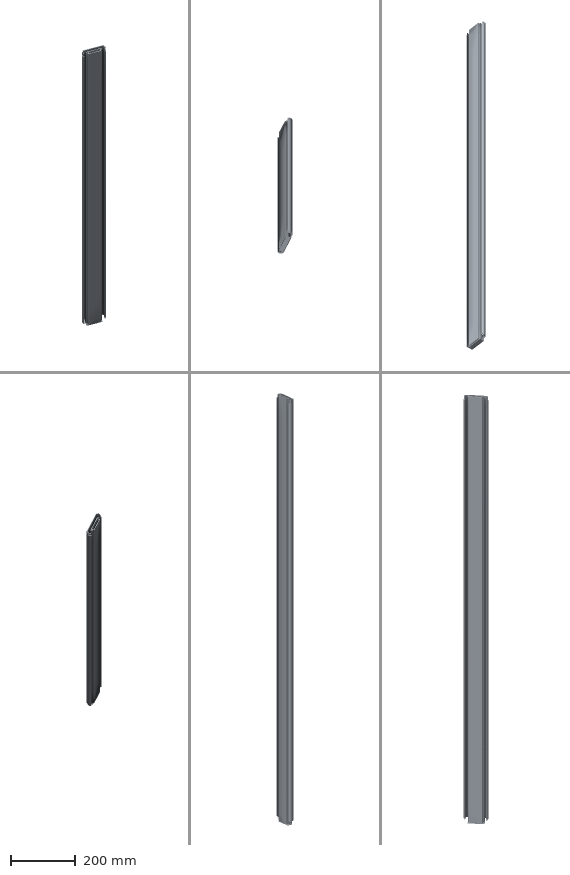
import cadquery as cq
import math

length = 1372.0
depth = 19.0
width = 77.0
sheet = 1.6

top = length / 2
bottom = -length / 2
back = -depth / 2
front = depth / 2

web_half_width = 33.0
raceway_radius = 7.8
raceway_x = 0.8
raceway_y = width / 2 - raceway_radius
raceway_back_angle = -53.0
raceway_lip_angle = 65.0
web_corner_inset = 1.0
raceway_bottom = -671.0
lip_notch_height = 11.0
lip_notch_x = -2.0

tongue_half_width = 26.0
bend_radius = 3.4
tab_end_x = 7.0

hole_diameter = 4.0
round_hole_heights = [673.0, 438.0, -273.0, -285.0, -591.0]
slots = [
    (654.0, 8.0),
    (632.0, 14.0),
    (604.0, 22.0),
    (82.0, 22.0),
    (-608.0, 14.0),
    (-625.0, 8.0),
    (-654.0, 8.0),
    (-673.0, 14.0),
]

cage_outer_radius = 5.0
cage_thickness = 1.1
cage_half_angle = 55.0
cage_bottom = -675.0

rail_bottom = -682.0
middle_back = -0.7
middle_front = 6.2
middle_half_width = 25.0
inner_back = 2.0
inner_half_width = 20.0


def raceway_point(radius, angle, side):
    """Point at an angle on a circle about the raceway centre of one side (+1 or -1 along Y)."""
    turn = math.radians(angle)
    return (
        raceway_x + radius * math.sin(turn),
        side * (raceway_y + radius * math.cos(turn)),
    )


def extrude_between(profile, low, high):
    """Extrude a closed XY profile from one height to another."""
    return profile.extrude(high - low).translate((0, 0, low))


def block(x_range, y_half_width, z_range):
    """Box that is centred on Y and given by its X and Z ranges."""
    size = (x_range[1] - x_range[0], 2 * y_half_width, z_range[1] - z_range[0])
    corner = (x_range[0], -y_half_width, z_range[0])
    return cq.Workplane("XY").box(*size, centered=False).translate(corner)


def outer_section():
    """Closed section of the outer rail: half a web and one raceway, mirrored across Y = 0."""
    bulge = raceway_radius
    hollow = raceway_radius - sheet
    middle_angle = (raceway_back_angle + raceway_lip_angle) / 2
    inside = back + sheet
    return (
        cq.Workplane("XY")
        .moveTo(back, 0)
        .lineTo(back, web_half_width)
        .lineTo(*raceway_point(bulge, raceway_back_angle, 1))
        .threePointArc(
            raceway_point(bulge, middle_angle, 1),
            raceway_point(bulge, raceway_lip_angle, 1),
        )
        .lineTo(*raceway_point(hollow, raceway_lip_angle, 1))
        .threePointArc(
            raceway_point(hollow, middle_angle, 1),
            raceway_point(hollow, raceway_back_angle, 1),
        )
        .lineTo(inside, web_half_width - web_corner_inset)
        .lineTo(inside, 0)
        .mirrorX()
    )


def stop_tab():
    """Tongue below the raceways, bent through a quarter turn toward +X at the bottom."""
    diagonal = math.sqrt(0.5)
    bend_x = back + bend_radius
    bend_z = bottom + bend_radius
    inside_radius = bend_radius - sheet
    profile = (
        cq.Workplane("XZ")
        .moveTo(back, raceway_bottom)
        .lineTo(back, bend_z)
        .threePointArc(
            (bend_x - bend_radius * diagonal, bend_z - bend_radius * diagonal), (bend_x, bottom)
        )
        .lineTo(tab_end_x, bottom)
        .lineTo(tab_end_x, bottom + sheet)
        .lineTo(bend_x, bottom + sheet)
        .threePointArc(
            (bend_x - inside_radius * diagonal, bend_z - inside_radius * diagonal),
            (back + sheet, bend_z),
        )
        .lineTo(back + sheet, raceway_bottom)
        .close()
    )
    return profile.extrude(tongue_half_width, both=True)


def cut_web_holes(rail):
    """Cut the round holes and the upright slots through the outer web."""
    web_face = cq.Workplane("YZ", origin=(back, 0, 0))
    centers = [(0, height) for height in round_hole_heights]
    rail = rail.cut(web_face.pushPoints(centers).circle(hole_diameter / 2).extrude(sheet))
    for height, slot_length in slots:
        slot = web_face.center(0, height).slot2D(slot_length, hole_diameter, 90).extrude(sheet)
        rail = rail.cut(slot)
    return rail


def make_outer_rail():
    """Outer rail with its end notches, stop tab, holes and slots."""
    rail = extrude_between(outer_section(), raceway_bottom, top)
    lip_notch = block((lip_notch_x, front), width / 2, (top - lip_notch_height, top))
    return cut_web_holes(rail.cut(lip_notch).union(stop_tab()).clean())


def make_ball_cage(side):
    """Thin curved strip inside the raceway of one side."""
    inside_radius = cage_outer_radius - cage_thickness
    profile = (
        cq.Workplane("XY")
        .moveTo(*raceway_point(cage_outer_radius, -cage_half_angle, side))
        .threePointArc(
            raceway_point(cage_outer_radius, 0, side),
            raceway_point(cage_outer_radius, cage_half_angle, side),
        )
        .lineTo(*raceway_point(inside_radius, cage_half_angle, side))
        .threePointArc(
            raceway_point(inside_radius, 0, side),
            raceway_point(inside_radius, -cage_half_angle, side),
        )
        .close()
    )
    return extrude_between(profile, cage_bottom, top)


def make_middle_rail():
    """Channel that is open toward +X."""
    z_range = (rail_bottom, top)
    body = block((middle_back, middle_front), middle_half_width, z_range)
    hollow = block((middle_back + sheet, middle_front), middle_half_width - sheet, z_range)
    return body.cut(hollow)


def make_inner_rail():
    """Channel that is open toward -X and nests in the middle rail."""
    z_range = (rail_bottom, top)
    body = block((inner_back, front), inner_half_width, z_range)
    hollow = block((inner_back, front - sheet), inner_half_width - sheet, z_range)
    return body.cut(hollow)


outer_rail = make_outer_rail()
middle_rail = make_middle_rail()
inner_rail = make_inner_rail()
ball_cages = [make_ball_cage(side) for side in (1, -1)]

result = cq.Compound.makeCompound(
    [
        outer_rail.val(),
        middle_rail.val(),
        inner_rail.val(),
        *[cage.val() for cage in ball_cages],
    ]
)